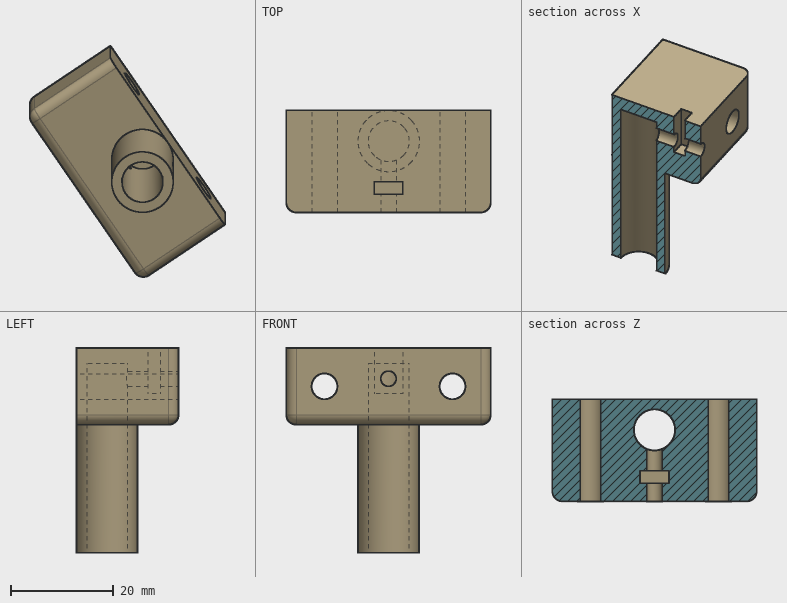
import cadquery as cq

head_length = 40.0
head_depth = 20.0
head_height = 15.0
edge_radius = 2.0

post_diameter = 12.0
post_length = 25.0
post_y = head_depth - post_diameter / 2
bore_diameter = 8.0
bore_roof = 3.0

mount_diameter = 5.0
mount_spacing = 25.0
mount_z = head_height / 2

screw_diameter = 3.0
screw_z = head_height - 6.0
nut_width = 5.6
nut_thickness = 2.4
nut_front_gap = 3.6
nut_floor_z = screw_z - nut_width / 2


def make_head():
    """Block with rounded front corners and rounded lower edges, except at the back."""
    block = cq.Workplane("XY").box(
        head_length, head_depth, head_height, centered=(True, False, False)
    )
    block = block.edges("|Z and <Y").fillet(edge_radius)
    lower_edges = block.faces("<Z").edges("not(>Y)")
    return lower_edges.fillet(edge_radius)


def vertical_cylinder(diameter, bottom_z, top_z):
    """Cylinder on the post axis."""
    base = cq.Workplane("XY", origin=(0, post_y, bottom_z))
    return base.circle(diameter / 2).extrude(top_z - bottom_z)


def hole_from_front(x, z, diameter, depth):
    """Cutter running backwards from the front face."""
    front = cq.Workplane("XZ", origin=(x, 0, z))
    return front.circle(diameter / 2).extrude(-depth)


def make_nut_pocket():
    """Rectangular cutter open at the top of the head."""
    base = cq.Workplane("XY", origin=(0, nut_front_gap, nut_floor_z))
    return base.box(
        nut_width, nut_thickness, head_height - nut_floor_z, centered=(True, False, False)
    )


post = vertical_cylinder(post_diameter, -post_length, head_height / 2)
result = make_head().union(post)

result = result.cut(vertical_cylinder(bore_diameter, -post_length, head_height - bore_roof))

for side in (-1, 1):
    mount_x = side * mount_spacing / 2
    result = result.cut(hole_from_front(mount_x, mount_z, mount_diameter, head_depth))

result = result.cut(hole_from_front(0, screw_z, screw_diameter, post_y))
result = result.cut(make_nut_pocket())